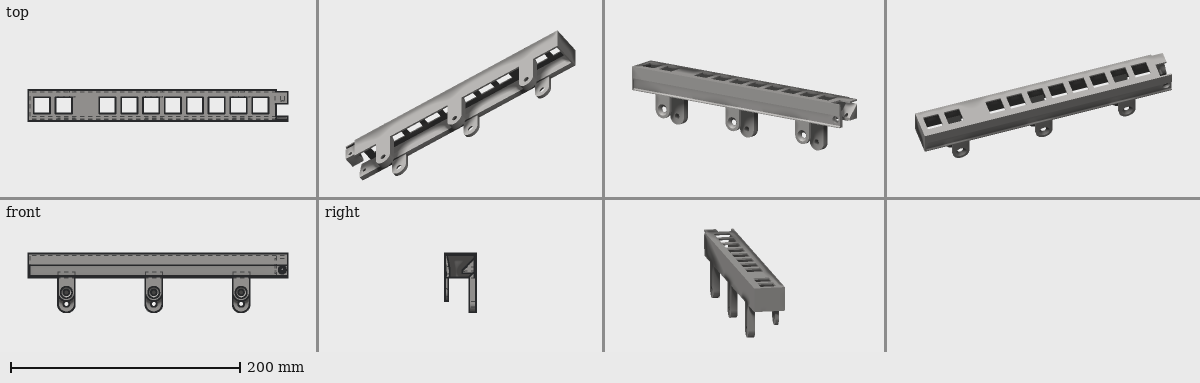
import cadquery as cq
import math

total_length = 226.57
width = 27.23
total_height = 51.5
body_height = 21.15
wall = 1.5
tongue_length = 10.2
body_length = total_length - tongue_length

window_size = 14.0
window_pitch = 19.05
window_slots = 11
blank_slot = 2
first_window_x = 12.04

front_wall_thickness = 4.4
front_wall_lean_bottom = 13.8
recess_top = 10.4
recess_floor_bottom = 19.3
recess_bottom = 20.4
recess_tilt = 2.6
recess_bottom_depth = recess_bottom - recess_floor_bottom
recess_top_depth = recess_bottom_depth - (recess_floor_bottom - recess_top) * math.tan(math.radians(recess_tilt))

tab_width = 10.7
tab_back = width - wall
tab_front = tab_back - tab_width
block_overlap = 1.3
block_top = 4.2
block_bottom = 17.2

screw_diameter = 3.4
screw_head_diameter = 6.5
screw_head_floor = 3.9
screw_from_end = 4.9
screw_drop = 14.4

lug_width = 15.0
lug_count = 3
lug_pitch = 4 * window_pitch
first_lug_x = 33.4
lug_hole_diameter = 5.0
countersink_diameter = 10.0
front_lug_thickness = 3.0
back_lug_thickness = 6.0
front_lug_drop = 41.5
back_lug_drop = total_height
front_lug_top = recess_bottom
gusset_bottom = 20.3


def box(x0, x1, y0, y1, z0, z1):
    """Axis-aligned block between the given limits."""
    return cq.Workplane("XY").box(x1 - x0, y1 - y0, z1 - z0, centered=False).translate((x0, y0, z0))


def extrude_along_x(points, x0, x1):
    """Prism with a (Y, Z) outline running from x0 to x1."""
    return cq.Workplane("YZ", origin=(x0, 0, 0)).polyline(points).close().extrude(x1 - x0)


def cylinder_along_y(x, y0, y1, z, diameter):
    """Round bar parallel to Y between y0 and y1."""
    return cq.Workplane("XZ", origin=(x, y0, z)).circle(diameter / 2).extrude(y0 - y1)


def make_shell():
    """Top plate, side walls and end walls, open at the bottom."""
    top_plate = box(0, body_length, 0, width, -wall, 0)
    end_wall = box(0, wall, 0, width, -body_height, 0)
    back_wall = box(0, body_length, width - wall, width, -body_height, 0)
    return top_plate.union(end_wall).union(back_wall)


def make_front_wall():
    """Full-length front wall that thickens towards the bottom."""
    outline = [
        (0, 0),
        (wall, 0),
        (front_wall_thickness, -front_wall_lean_bottom),
        (front_wall_thickness, -body_height),
        (0, -body_height),
    ]
    return extrude_along_x(outline, 0, total_length)


def make_front_recess():
    """Long outer recess with a leaning floor and a bevelled lower edge."""
    outline = [
        (0, -recess_top),
        (recess_top_depth, -recess_top),
        (recess_bottom_depth, -recess_floor_bottom),
        (0, -recess_bottom),
    ]
    return extrude_along_x(outline, wall, total_length)


def make_tongue():
    """Flat tab with a wedge block below it, lapping the inside of the back wall."""
    tab = box(body_length - wall, total_length, tab_front, tab_back, -wall, 0)
    outline = [
        (tab_back, -block_top),
        (tab_front, -block_top - tab_width),
        (tab_front, -block_bottom),
        (tab_back, -block_bottom),
    ]
    return tab.union(extrude_along_x(outline, body_length - block_overlap, total_length))


def make_windows():
    """All square windows, skipping the blank slot."""
    points = [
        (first_window_x + slot * window_pitch, width / 2)
        for slot in range(window_slots)
        if slot != blank_slot
    ]
    return cq.Workplane("XY").pushPoints(points).rect(window_size, window_size).extrude(-wall)


def make_screw_hole():
    """Counterbored screw hole square to the recess floor, through the front wall and the block."""
    x = total_length - screw_from_end
    shank = cylinder_along_y(x, 0, width, -screw_drop, screw_diameter)
    head = cylinder_along_y(x, -wall, screw_head_floor, -screw_drop, screw_head_diameter)
    axis_start = (x, 0, -screw_drop)
    axis_end = (x + 1, 0, -screw_drop)
    return shank.union(head).rotate(axis_start, axis_end, recess_tilt)


def make_lug(x, y0, thickness, top, drop):
    """Round-ended lug with a through hole on the centre of its round end."""
    radius = lug_width / 2
    centre_z = radius - drop
    strap = box(x - radius, x + radius, y0, y0 + thickness, centre_z, -top)
    lug = strap.union(cylinder_along_y(x, y0, y0 + thickness, centre_z, lug_width))
    return lug.cut(cylinder_along_y(x, y0, y0 + thickness, centre_z, lug_hole_diameter))


def make_gusset(x):
    """45 degree ramp carrying the back lug up into the back wall."""
    radius = lug_width / 2
    inner_face = width - back_lug_thickness
    ramp_rise = back_lug_thickness - wall
    outline = [
        (width - wall, -gusset_bottom),
        (inner_face, -gusset_bottom),
        (width - wall, ramp_rise - gusset_bottom),
    ]
    return extrude_along_x(outline, x - radius, x + radius)


def make_countersink(x):
    """45 degree cone opening at the front face of a front lug."""
    depth = (countersink_diameter - lug_hole_diameter) / 2
    centre_z = lug_width / 2 - front_lug_drop
    cone = cq.Solid.makeCone(
        countersink_diameter / 2,
        lug_hole_diameter / 2,
        depth,
        cq.Vector(x, 0, centre_z),
        cq.Vector(0, 1, 0),
    )
    return cq.Workplane(obj=cone)


result = make_shell().union(make_front_wall()).union(make_tongue())
result = result.cut(make_windows()).cut(make_front_recess()).cut(make_screw_hole())
for index in range(lug_count):
    lug_x = first_lug_x + index * lug_pitch
    front_lug = make_lug(lug_x, 0, front_lug_thickness, front_lug_top, front_lug_drop)
    back_lug = make_lug(lug_x, width - back_lug_thickness, back_lug_thickness, gusset_bottom, back_lug_drop)
    result = result.union(front_lug.cut(make_countersink(lug_x))).union(back_lug).union(make_gusset(lug_x))